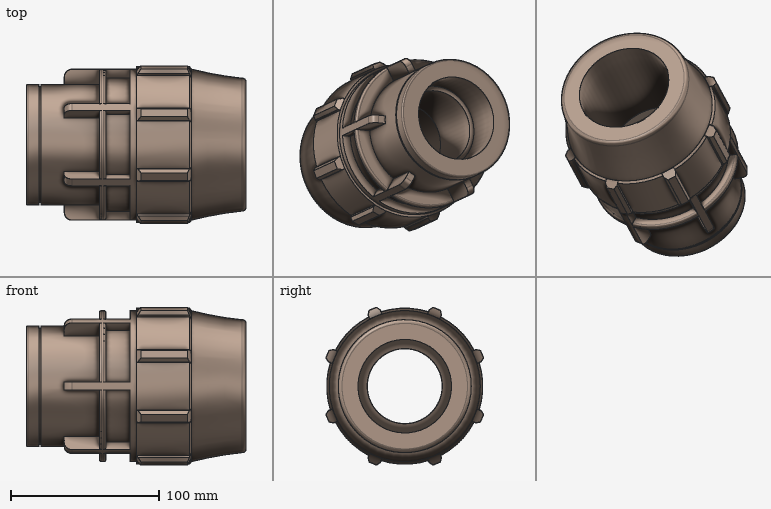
import cadquery as cq
import math


total_length = 148.0
flange_start = 69.8
nut_start = 74.2
nut_end = 111.1
lip_start = 145.2

spigot_radius = 81.36 / 2
neck_radius = 45.0
flange_radius = 101.7 / 2
nut_radius = 52.6
cone_start_radius = 50.9
cone_middle_radius = 47.2
cone_end_radius = 44.8

spigot_edge_fillet = 1.0
nut_edge_chamfer = 1.1
lip_fillet = 2.5
groove_start = 8.5
groove_width = 1.2
groove_depth = 1.5

collar_start = 49.1
collar_width = 4.5
collar_edge_fillet = 1.5

spigot_bore_radius = 56.66 / 2
throat_radius = 50.4 / 2
pipe_bore_radius = 63.0 / 2
spigot_bore_depth = 30.0
pipe_bore_start = nut_start

spigot_rib_count = 6
spigot_rib_thickness = 5.3
spigot_rib_start = 25.5
spigot_rib_corner_radius = 5.2

pocket_clearance = 1.0

grip_count = 8
grip_top_radius = 56.4
grip_shoulder_radius = 53.8
grip_root_radius = cone_start_radius
grip_top_width = 5.5
grip_width = 9.0
grip_front_slope = 3.0
grip_back_slope = 2.6


def cylinder(start, end, radius):
    """Solid cylinder on the X axis between two stations."""
    return cq.Workplane("YZ", origin=(start, 0, 0)).circle(radius).extrude(end - start)


def make_spigot():
    spigot = cylinder(0, flange_start, spigot_radius)
    spigot = spigot.faces("<X").edges().fillet(spigot_edge_fillet)
    groove_end = groove_start + groove_width
    groove = cylinder(groove_start, groove_end, spigot_radius + groove_depth)
    groove = groove.cut(cylinder(groove_start, groove_end, spigot_radius - groove_depth))
    return spigot.cut(groove)


def revolve_about_axis(profile):
    return profile.close().revolve(360, (0, 0, 0), (1, 0, 0))


def make_rib_envelope():
    """Full disc from which the spigot ribs, collar and flange are left standing."""
    envelope = cylinder(spigot_rib_start, nut_start, flange_radius)
    return envelope.faces("<X").edges().fillet(spigot_rib_corner_radius)


def make_rib_slabs():
    """Flat slabs through the axis, each holding two opposite spigot ribs."""
    slab_width = 2 * (flange_radius + pocket_clearance)
    slab = cq.Workplane("XY").box(
        total_length, slab_width, spigot_rib_thickness, centered=(False, True, True)
    )
    slabs = slab
    for index in range(1, spigot_rib_count // 2):
        slabs = slabs.union(slab.rotate((0, 0, 0), (1, 0, 0), index * 360 / spigot_rib_count))
    return slabs


def make_pockets():
    """Ring-shaped spaces before and behind the rounded collar, interrupted by the ribs."""
    outside_radius = flange_radius + pocket_clearance
    collar_end = collar_start + collar_width
    fillet_start_radius = flange_radius - collar_edge_fillet
    arc_inset = collar_edge_fillet * (1 - math.sqrt(0.5))
    front_pocket = revolve_about_axis(
        cq.Workplane("XY")
        .moveTo(spigot_rib_start - pocket_clearance, spigot_radius)
        .lineTo(collar_start, spigot_radius)
        .lineTo(collar_start, fillet_start_radius)
        .threePointArc(
            (collar_start + arc_inset, flange_radius - arc_inset),
            (collar_start + collar_edge_fillet, flange_radius),
        )
        .lineTo(collar_start + collar_edge_fillet, outside_radius)
        .lineTo(spigot_rib_start - pocket_clearance, outside_radius)
    )
    rear_pocket = revolve_about_axis(
        cq.Workplane("XY")
        .moveTo(flange_start, neck_radius)
        .lineTo(collar_end, neck_radius)
        .lineTo(collar_end, fillet_start_radius)
        .threePointArc(
            (collar_end - arc_inset, flange_radius - arc_inset),
            (collar_end - collar_edge_fillet, flange_radius),
        )
        .lineTo(collar_end - collar_edge_fillet, outside_radius)
        .lineTo(flange_start, outside_radius)
    )
    return front_pocket.union(rear_pocket).cut(make_rib_slabs())


def make_nut():
    """Nut body with a gently concave taper towards its rounded lip."""
    cone_middle = (nut_end + lip_start) / 2
    lip_corner = lip_fillet * math.sqrt(0.5)
    lip_face_radius = cone_end_radius - lip_fillet
    lip_arc_middle = (
        total_length - lip_fillet + lip_corner,
        lip_face_radius + lip_corner,
    )
    return revolve_about_axis(
        cq.Workplane("XY")
        .moveTo(nut_start, 0)
        .lineTo(nut_start, nut_radius)
        .lineTo(nut_end - nut_edge_chamfer, nut_radius)
        .lineTo(nut_end, cone_start_radius)
        .threePointArc((cone_middle, cone_middle_radius), (lip_start, cone_end_radius))
        .threePointArc(lip_arc_middle, (total_length, lip_face_radius))
        .lineTo(total_length, 0)
    )


def make_grip_rib():
    """Rib along +Y with bevelled flanks, sloped at both ends."""
    section = (
        cq.Workplane("YZ", origin=(nut_start, 0, 0))
        .polyline([
            (grip_root_radius, -grip_width / 2),
            (grip_shoulder_radius, -grip_width / 2),
            (grip_top_radius, -grip_top_width / 2),
            (grip_top_radius, grip_top_width / 2),
            (grip_shoulder_radius, grip_width / 2),
            (grip_root_radius, grip_width / 2),
        ])
        .close()
        .extrude(nut_end - nut_start)
    )
    side = (
        cq.Workplane("XY")
        .polyline([
            (nut_start, grip_root_radius),
            (nut_start, nut_radius),
            (nut_start + grip_front_slope, grip_top_radius),
            (nut_end - grip_back_slope, grip_top_radius),
            (nut_end, grip_root_radius),
        ])
        .close()
        .extrude(grip_width / 2, both=True)
    )
    return section.intersect(side)


def add_grip_ribs(body):
    rib = make_grip_rib()
    for index in range(grip_count):
        angle = (index + 0.5) * 360 / grip_count
        body = body.union(rib.rotate((0, 0, 0), (1, 0, 0), angle))
    return body


body = make_rib_envelope().cut(make_pockets())
body = body.union(make_spigot())
body = body.union(make_nut())
body = add_grip_ribs(body)

body = body.cut(cylinder(0, spigot_bore_depth, spigot_bore_radius))
body = body.cut(cylinder(0, total_length, throat_radius))
body = body.cut(cylinder(pipe_bore_start, total_length, pipe_bore_radius))

result = body